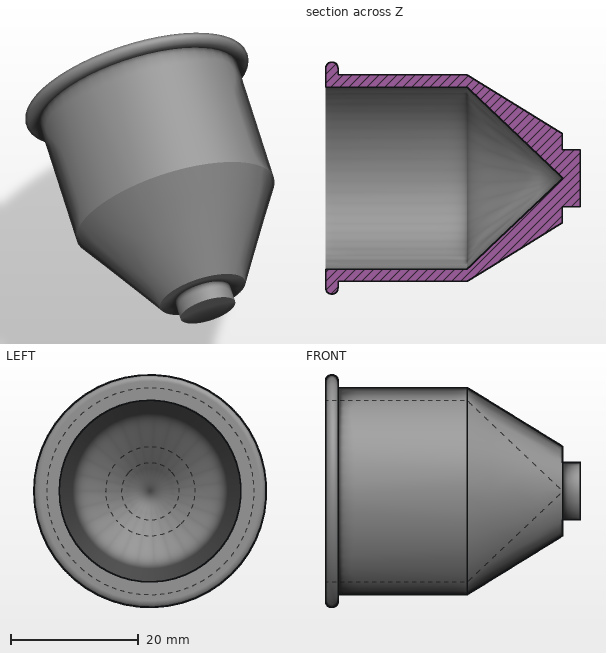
import cadquery as cq

total_length = 40.0
rim_width = 2.0
cone_start = 22.2
cone_length = 15.0
cone_end = cone_start + cone_length

wall_thickness = 2.0
rim_diameter = 36.5
body_diameter = 32.5
bore_diameter = body_diameter - 2 * wall_thickness
cone_end_diameter = 14.0
stub_diameter = 9.0


def revolve_about_x(profile):
    """Turn a closed half profile a full turn about the X axis."""
    return profile.revolve(360, (0, 0, 0), (1, 0, 0))


def make_outer_body():
    """Fully rounded rim, cylindrical body, tapered nose and end stub."""
    body_radius = body_diameter / 2
    stub_radius = stub_diameter / 2
    rim_radius = rim_diameter / 2
    half_rim = rim_width / 2
    rim_face_radius = rim_radius - half_rim
    profile = (
        cq.Workplane("XY")
        .lineTo(0, rim_face_radius)
        .threePointArc((half_rim, rim_radius), (rim_width, rim_face_radius))
        .lineTo(rim_width, body_radius)
        .lineTo(cone_start, body_radius)
        .lineTo(cone_end, cone_end_diameter / 2)
        .lineTo(cone_end, stub_radius)
        .lineTo(total_length, stub_radius)
        .lineTo(total_length, 0)
        .close()
    )
    return revolve_about_x(profile)


def make_bore():
    """Blind bore, open at the rim, narrowing to a point over the length of the nose."""
    bore_radius = bore_diameter / 2
    profile = (
        cq.Workplane("XY")
        .lineTo(0, bore_radius)
        .lineTo(cone_start, bore_radius)
        .lineTo(cone_end, 0)
        .close()
    )
    return revolve_about_x(profile)


result = make_outer_body().cut(make_bore())